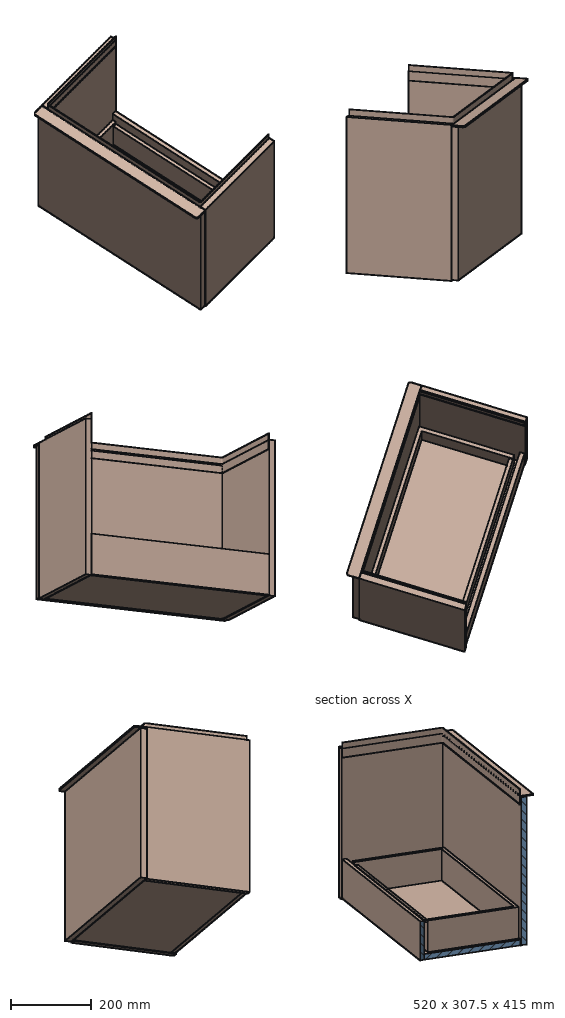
import cadquery as cq

WIDTH = 520.0
DEPTH = 307.5
HEIGHT = 415.0

BOARD = 16.0
RIM_RISE = 16.0
SIDE_DEPTH = 273.5
SIDE_HEIGHT = HEIGHT - RIM_RISE
INNER_WIDTH = WIDTH - 2 * BOARD

RIM_SHEET = 1.5
RIM_HEIGHT = 40.0
RIM_RADIUS = 3.5
BACK_INSET = 1.5
RIM_DEPTH = SIDE_DEPTH - BACK_INSET

FRONT_GAP = 1.0
FRONT_INSET = 1.5
FRONT_LIFT = 2.0
FRONT_START = SIDE_DEPTH + FRONT_GAP
HANDLE_THICKNESS = 4.0
HANDLE_DEPTH = DEPTH - FRONT_START
HANDLE_RADIUS = 6.0
HANDLE_BOTTOM = SIDE_HEIGHT - HANDLE_THICKNESS

BACK_THICKNESS = 12.0
BACK_HEIGHT = 104.0

TRAY_START = BACK_INSET + BACK_THICKNESS
TRAY_DEPTH = SIDE_DEPTH - TRAY_START
WALL = 10.0
WALL_HEIGHT = 83.0
BACK_WALL_DROP = 8.0
WALL_SIDE_GAP = 10.0
WALL_BACK_GAP = 12.0
WALL_FRONT_GAP = 1.0
RING_WIDTH = INNER_WIDTH - 2 * WALL_SIDE_GAP
RING_START = TRAY_START + WALL_BACK_GAP
RING_DEPTH = SIDE_DEPTH - WALL_FRONT_GAP - RING_START


def block(width, back, depth, bottom, height):
    """Box centred on X; 'back' is the distance of its rear face from the cabinet's back."""
    return (
        cq.Workplane("XY")
        .box(width, depth, height, centered=(True, False, False))
        .translate((0, -back - depth, bottom))
    )


def make_side_panel(direction):
    offset = direction * (WIDTH - BOARD) / 2
    return block(BOARD, 0, SIDE_DEPTH, 0, SIDE_HEIGHT).translate((offset, 0, 0))


def make_rim():
    bottom = HEIGHT - RIM_HEIGHT
    outer = block(INNER_WIDTH, BACK_INSET, RIM_DEPTH, bottom, RIM_HEIGHT)
    outer = outer.edges("|Z and <Y").fillet(RIM_RADIUS)
    inner = block(
        INNER_WIDTH - 2 * RIM_SHEET, BACK_INSET, RIM_DEPTH - RIM_SHEET, bottom, RIM_HEIGHT
    )
    inner = inner.edges("|Z and <Y").fillet(RIM_RADIUS - RIM_SHEET)
    return outer.cut(inner)


def make_front_panel():
    width = WIDTH - 2 * FRONT_INSET
    return block(width, FRONT_START, BOARD, FRONT_LIFT, HANDLE_BOTTOM - FRONT_LIFT)


def make_handle():
    plate = block(WIDTH, FRONT_START, HANDLE_DEPTH, HANDLE_BOTTOM, HANDLE_THICKNESS)
    return plate.edges("|Z and <Y").fillet(HANDLE_RADIUS)


def make_back_rail():
    return block(INNER_WIDTH, BACK_INSET, BACK_THICKNESS, FRONT_LIFT, BACK_HEIGHT)


def make_drawer_tray():
    base = block(INNER_WIDTH, TRAY_START, TRAY_DEPTH, FRONT_LIFT, BOARD)
    floor = FRONT_LIFT + BOARD
    walls = block(RING_WIDTH, RING_START, RING_DEPTH, floor, WALL_HEIGHT)
    cavity = block(
        RING_WIDTH - 2 * WALL, RING_START + WALL, RING_DEPTH - 2 * WALL, floor, WALL_HEIGHT
    )
    back_wall_top = floor + WALL_HEIGHT - BACK_WALL_DROP
    back_step = block(RING_WIDTH - 2 * WALL, RING_START, WALL, back_wall_top, BACK_WALL_DROP)
    return base.union(walls.cut(cavity).cut(back_step))


side_panels = [make_side_panel(direction).val() for direction in (-1, 1)]
rim = make_rim()
front_panel = make_front_panel()
handle = make_handle()
back_rail = make_back_rail()
drawer_tray = make_drawer_tray()

result = cq.Compound.makeCompound([
    *side_panels,
    rim.val(),
    front_panel.val(),
    handle.val(),
    back_rail.val(),
    drawer_tray.val(),
])